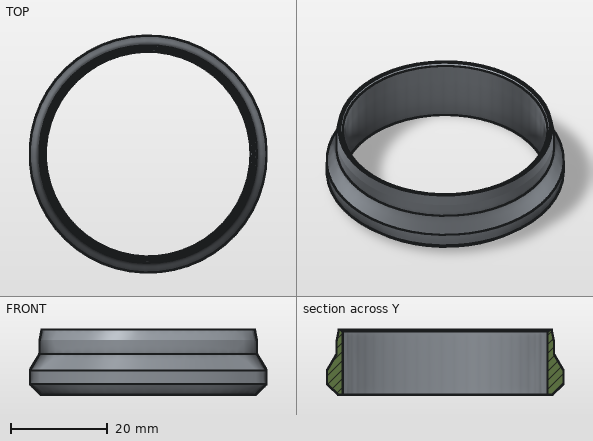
import cadquery as cq

flange_radius = 49 / 2
neck_radius = 45.0 / 2
bore_radius = 42.3 / 2
rim_radius = 22.05
base_radius = 22.2

height = 13.5
lower_bevel_top = 2.25
flange_top = 5.05
shoulder_top = 8.5
neck_top = 11.2

mouth_bevel_width = 0.5
mouth_bevel_depth = 0.5

half_section = (
    cq.Workplane("XZ")
    .moveTo(bore_radius, 0)
    .lineTo(base_radius, 0)
    .lineTo(flange_radius, lower_bevel_top)
    .lineTo(flange_radius, flange_top)
    .lineTo(neck_radius, shoulder_top)
    .lineTo(neck_radius, neck_top)
    .lineTo(rim_radius, height)
    .lineTo(bore_radius + mouth_bevel_width, height)
    .lineTo(bore_radius, height - mouth_bevel_depth)
    .close()
)

result = half_section.revolve(360, (0, 0, 0), (0, 1, 0))